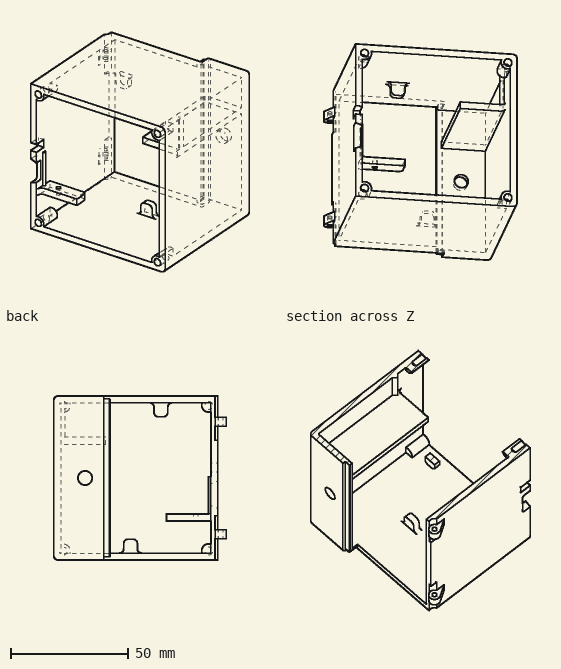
import cadquery as cq
import math

OVERALL_LENGTH = 73.6
SIDE = 70.0
DEPTH = 64.0
WALL = 3.0
EDGE_RADIUS = 2.0
INNER_HIGH = SIDE - WALL
INNER_BACK = DEPTH - WALL

OVERLAP = 0.7

REBATE_Y = 58.0
BLOCK_X = 48.6
TONGUE_X = 45.9
TONGUE_INSET = 1.3
TONGUE_CHAMFER = 0.4

BACK_HOLE_DIAMETER = 6.0
BACK_HOLE_X = 56.6

BOSS_INSET = 4.0
BOSS_DIAMETER = 6.0
BOSS_LENGTH = 10.0
SCREW_DIAMETER = 3.3
SCREW_DEPTH = 6.0
DRILL_TIP_ANGLE = 90

HINGE_X = -1.1
HINGE_Y = 57.0
LUG_RADIUS = OVERALL_LENGTH - SIDE + HINGE_X
LUG_HEIGHT = 4.0
LUG_SPACING = 48.0
LUG_TAIL_Y = 50.3
PIN_DIAMETER = 2.0
KNUCKLE_RADIUS = LUG_RADIUS
KNUCKLE_LENGTH = 19.0

SLOT_DEPTH = 5.6
SLOT_LOW = 37.8
SLOT_HEIGHT = 3.75
PORT_DEPTH = 4.6
PORT_LOW = 22.1
PORT_HEIGHT = 11.7
PORT_TAPER = 1.2
PORT_CORNER = 1.0

SHELF_LENGTH = 19.0
SHELF_THICKNESS = 3.0
SHELF_CORNER = 2.0
LEFT_SHELF_LOW = 16.65
LEFT_SHELF_FRONT = 3.0
LEFT_SHELF_BACK = 10.0
LEFT_RIB_WIDTH = 1.0
LEFT_RIB_HEIGHT = 16.0
LEFT_RIB_Y = 4.6
SHELF_HOLE_DIAMETER = 2.0
SHELF_HOLE_X = 9.6
SHELF_HOLE_Y = 7.0
RIGHT_SHELF_LOW = 49.5
RIGHT_SHELF_FRONT = 14.7
RIGHT_RIB_WIDTH = 1.6

TAB_WIDTH = 6.0
TAB_HEIGHT = 6.0
TAB_THICKNESS = 3.0
TAB_FRONT = 33.0
TAB_TIP_RADIUS = 2.0
TAB_FOOT_RADIUS = 1.8
FLOOR_TAB_X = 37.25
CEILING_TAB_X = 24.3


def block(x0, x1, y0, y1, z0, z1):
    return cq.Workplane("XY").box(x1 - x0, y1 - y0, z1 - z0, centered=False).translate((x0, y0, z0))


def cylinder_along_y(x, z, diameter, y0, y1):
    return cq.Workplane("XZ", origin=(x, y0, z)).circle(diameter / 2).extrude(y0 - y1)


def cylinder_along_z(x, y, radius, z0, z1):
    return cq.Workplane("XY", origin=(x, y, z0)).circle(radius).extrude(z1 - z0)


def shell():
    body = block(0, SIDE, 0, DEPTH, 0, SIDE)
    body = body.edges("|Y and >X").fillet(EDGE_RADIUS)
    body = body.faces(">Y").edges("not <X").fillet(EDGE_RADIUS)
    rebate = block(-OVERLAP, BLOCK_X, REBATE_Y, DEPTH + OVERLAP, -OVERLAP, SIDE + OVERLAP)
    body = body.cut(rebate)
    return body.cut(block(WALL, INNER_HIGH, -OVERLAP, INNER_BACK, WALL, INNER_HIGH))


def tongue():
    """Lip on the door-side rim of the back block, flush with the cavity."""
    back = DEPTH - TONGUE_INSET
    high = SIDE - TONGUE_INSET
    outer = block(TONGUE_X, BLOCK_X + OVERLAP, REBATE_Y - OVERLAP, back, TONGUE_INSET, high)
    outer = outer.edges("<X and (>Y or >Z or <Z)").chamfer(TONGUE_CHAMFER)
    return outer.cut(block(TONGUE_X - OVERLAP, BLOCK_X + 2 * OVERLAP, 0, INNER_BACK, WALL, INNER_HIGH))


def corner_points():
    places = (BOSS_INSET, SIDE - BOSS_INSET)
    return [(x, z) for x in places for z in places]


def screw_hole(x, z):
    radius = SCREW_DIAMETER / 2
    tip = SCREW_DEPTH + radius / math.tan(math.radians(DRILL_TIP_ANGLE / 2))
    profile = [(0, -OVERLAP), (radius, -OVERLAP), (radius, SCREW_DEPTH), (0, tip)]
    return cq.Workplane("XY").polyline(profile).close().revolve(360, (0, 0), (0, 1)).translate((x, 0, z))


def lug(z_middle):
    """Hinge eye with a tail that runs tangentially from the eye down to the left wall."""
    reach = math.hypot(HINGE_X, HINGE_Y - LUG_TAIL_Y)
    turn = math.acos(LUG_RADIUS / reach)
    to_tail = math.atan2(LUG_TAIL_Y - HINGE_Y, -HINGE_X)
    angle = to_tail - turn
    tangent = (HINGE_X + LUG_RADIUS * math.cos(angle), HINGE_Y + LUG_RADIUS * math.sin(angle))
    low = z_middle - LUG_HEIGHT / 2
    tail = [(0, LUG_TAIL_Y), tangent, (HINGE_X, HINGE_Y), (WALL / 2, HINGE_Y), (WALL / 2, LUG_TAIL_Y)]
    tail_solid = cq.Workplane("XY", origin=(0, 0, low)).polyline(tail).close().extrude(LUG_HEIGHT)
    eye = cylinder_along_z(HINGE_X, HINGE_Y, LUG_RADIUS, low, low + LUG_HEIGHT)
    pin = cylinder_along_z(HINGE_X, HINGE_Y, PIN_DIAMETER / 2, low - OVERLAP, low + LUG_HEIGHT + OVERLAP)
    return eye.union(tail_solid).cut(pin)


def port():
    """Opening through the left wall that narrows towards the inside."""
    def section(inset):
        width = 2 * (PORT_DEPTH - inset)
        return cq.Sketch().rect(width, PORT_HEIGHT - 2 * inset).vertices().fillet(PORT_CORNER)

    middle = PORT_LOW + PORT_HEIGHT / 2
    outside = section(0)
    inside = section(PORT_TAPER).moved(cq.Location(cq.Vector(0, 0, WALL)))
    return cq.Workplane("YZ", origin=(0, 0, middle)).placeSketch(outside, inside).loft()


def shelf(front, back, low):
    """Shelf on the left wall with a hollow fillet where its front meets the wall."""
    r = SHELF_CORNER
    return (
        cq.Workplane("XY", origin=(0, 0, low))
        .moveTo(0, front - r)
        .lineTo(WALL, front - r)
        .radiusArc((WALL + r, front), r)
        .lineTo(WALL + SHELF_LENGTH, front)
        .lineTo(WALL + SHELF_LENGTH, back)
        .lineTo(0, back)
        .close()
        .extrude(SHELF_THICKNESS)
    )


def wall_rib(width, y, z0, z1):
    """Right-angled triangular rib standing along the left wall, sloping at 45 degrees."""
    points = [(WALL, y), (WALL + width, y + width), (WALL, y + 2 * width)]
    return cq.Workplane("XY", origin=(0, 0, z0)).polyline(points).close().extrude(z1 - z0)


def left_shelf():
    plate = shelf(LEFT_SHELF_FRONT, LEFT_SHELF_BACK, LEFT_SHELF_LOW)
    plate = plate.edges("|Z and >X and >Y").fillet(SHELF_CORNER)
    top = LEFT_SHELF_LOW + SHELF_THICKNESS
    hole_radius = SHELF_HOLE_DIAMETER / 2
    hole_low = LEFT_SHELF_LOW - OVERLAP
    plate = plate.cut(cylinder_along_z(SHELF_HOLE_X, SHELF_HOLE_Y, hole_radius, hole_low, top + OVERLAP))
    return plate.union(wall_rib(LEFT_RIB_WIDTH, LEFT_RIB_Y, top, top + LEFT_RIB_HEIGHT))


def right_shelf():
    """Shelf reaching the back wall, built on the left wall and mirrored to the right one."""
    plate = shelf(RIGHT_SHELF_FRONT, INNER_BACK, RIGHT_SHELF_LOW)
    rib = wall_rib(RIGHT_RIB_WIDTH, RIGHT_SHELF_FRONT, RIGHT_SHELF_LOW + SHELF_THICKNESS, INNER_HIGH)
    return plate.union(rib).mirror("YZ").translate((SIDE, 0, 0))


def floor_tab(x):
    half = TAB_WIDTH / 2
    foot = half + TAB_FOOT_RADIUS
    tip = half - TAB_TIP_RADIUS
    profile = (
        cq.Workplane("XZ", origin=(x, TAB_FRONT, WALL))
        .moveTo(-foot, 0)
        .radiusArc((-half, TAB_FOOT_RADIUS), -TAB_FOOT_RADIUS)
        .lineTo(-half, TAB_HEIGHT - TAB_TIP_RADIUS)
        .radiusArc((-tip, TAB_HEIGHT), TAB_TIP_RADIUS)
        .lineTo(tip, TAB_HEIGHT)
        .radiusArc((half, TAB_HEIGHT - TAB_TIP_RADIUS), TAB_TIP_RADIUS)
        .lineTo(half, TAB_FOOT_RADIUS)
        .radiusArc((foot, 0), -TAB_FOOT_RADIUS)
        .lineTo(foot, -WALL / 2)
        .lineTo(-foot, -WALL / 2)
        .close()
    )
    return profile.extrude(-TAB_THICKNESS)


result = shell().union(tongue())
result = result.cut(cylinder_along_y(BACK_HOLE_X, SIDE / 2, BACK_HOLE_DIAMETER, REBATE_Y, DEPTH + OVERLAP))

for x, z in corner_points():
    result = result.union(cylinder_along_y(x, z, BOSS_DIAMETER, 0, BOSS_LENGTH))
    result = result.cut(screw_hole(x, z))

for low in (0, SIDE - KNUCKLE_LENGTH):
    result = result.cut(cylinder_along_z(HINGE_X, HINGE_Y, KNUCKLE_RADIUS, low, low + KNUCKLE_LENGTH))
for direction in (-1, 1):
    result = result.union(lug(SIDE / 2 + direction * LUG_SPACING / 2))

result = result.union(left_shelf()).union(right_shelf())
result = result.union(floor_tab(FLOOR_TAB_X))
result = result.union(floor_tab(CEILING_TAB_X).mirror("XY").translate((0, 0, SIDE)))

result = result.cut(block(-OVERLAP, WALL, -OVERLAP, SLOT_DEPTH, SLOT_LOW, SLOT_LOW + SLOT_HEIGHT))
result = result.cut(port())